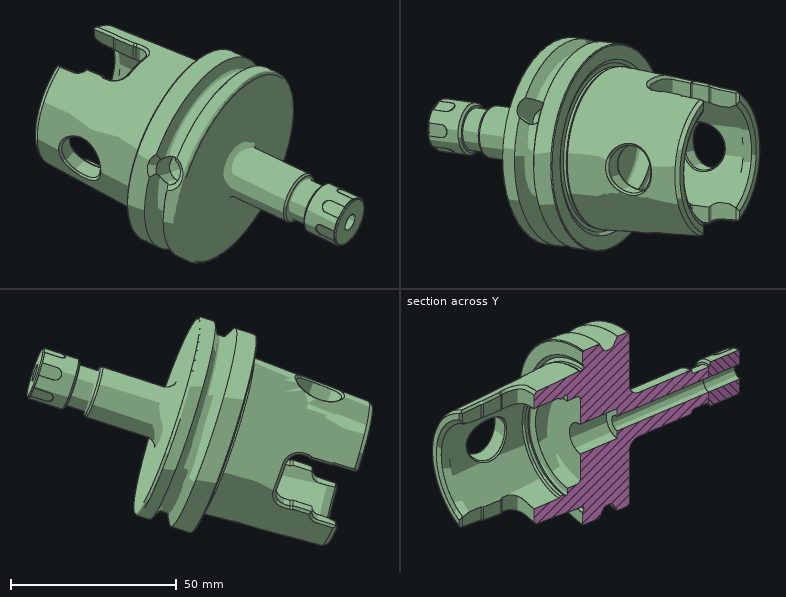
import cadquery as cq
import math


shank_length = 40.0
taper_end_x = -1.3
taper_end_radius = 24.8
taper_ratio = 1 / 20
shank_rear_radius = taper_end_radius - (shank_length + taper_end_x) * taper_ratio
shank_chamfer_length = 1.3
shank_chamfer_height = 0.7

root_land_end_x = -0.8
root_groove_depth = 0.6
root_neck_radius = 24.6
root_neck_end_x = 0.2
root_groove_bottom_radius = 25.7
root_groove_outer_radius = 26.8

flange_radius = 31.5
flange_width = 18.0
flange_rear_chamfer = 0.3
flange_front_fillet = 0.9
v_groove_x = 9.9
v_groove_bottom_radius = 28.0
v_groove_bottom_half_width = 1.4
v_groove_half_angle = math.radians(30)
v_groove_fillet = 1.0

shaft_radius = 8.0
shaft_root_fillet = 3.8
shaft_end_x = 41.8
shaft_end_chamfer_length = 0.7
shaft_end_chamfer_height = 0.4
neck_radius = 6.5
neck_fillet = 0.6

nut_rear_x = 48.1
nut_front_x = 60.0
nut_radius = 8.0
nut_chamfer_length = 0.7
nut_chamfer_height = 0.8
nut_nose_length = 0.5
nut_nose_radius = 7.5
nut_slot_count = 6
nut_slot_width = 4.0
nut_slot_floor = 7.7
nut_slot_start_x = 52.9

bore_mouth_radius = 20.2
bore_mouth_chamfer_radius = 18.8
bore_mouth_chamfer_length = 0.8
bore_radius = 18.0
bore_lead_in_length = 2.5
lip_radius = 17.4
lip_start_x = -9.0
lip_rear_chamfer = 0.6
lip_front_x = -7.3
shoulder_x = -5.7
shoulder_fillet = 0.7
recess_radius = 15.7
recess_floor_x = -0.8
recess_fillet = 1.3
coolant_bore_radius = 5.3
coolant_bore_depth = 14.0
through_hole_radius = 2.6

slot_end_x = -18.4
slot_corner_radius = 4.1
slot_half_width = 7.9
slot_relief = 0.4
slot_relief_start_x = -24.1
slot_ramp_length = 0.8
slot_mouth_half_width = 8.2
slot_mouth_flare = 0.8
slot_mouth_end_x = -32.3
slot_scoop_half_width = 10.2
slot_scoop_end_x = -31.0
slot_scoop_radius = 2.8
slot_chamfer = 0.95

cross_hole_x = -22.6
cross_hole_radius = 7.3
cross_hole_outer_chamfer = 0.7
cross_hole_inner_chamfer = 0.4

flange_hole_x = 11.1
flange_hole_tilt = 30.0
flange_hole_floor = 21.3
flange_hole_radius = 4.2
flange_hole_mouth_radius = 6.2
flange_hole_plain_radius = 3.8
drill_tip_half_angle = math.radians(59)


def revolve_about_x(profile):
    """Revolve a closed (x, radius) profile around the tool axis."""
    return profile.close().revolve(360, (0, 0, 0), (1, 0, 0))


def outer_body():
    """Solid of revolution from the shank to the front of the neck."""
    return revolve_about_x(
        cq.Workplane("XY")
        .moveTo(-shank_length, 0)
        .lineTo(-shank_length, shank_rear_radius - shank_chamfer_height)
        .lineTo(-shank_length + shank_chamfer_length, shank_rear_radius + shank_chamfer_length * taper_ratio)
        .lineTo(taper_end_x, taper_end_radius)
        .lineTo(root_land_end_x, root_neck_radius)
        .lineTo(root_neck_end_x, root_neck_radius)
        .lineTo(root_groove_depth, root_groove_bottom_radius)
        .lineTo(0, root_groove_outer_radius)
        .lineTo(0, flange_radius - flange_rear_chamfer)
        .lineTo(flange_rear_chamfer, flange_radius)
        .lineTo(flange_width - flange_front_fillet, flange_radius)
        .radiusArc((flange_width, flange_radius - flange_front_fillet), flange_front_fillet)
        .lineTo(flange_width, shaft_radius + shaft_root_fillet)
        .radiusArc((flange_width + shaft_root_fillet, shaft_radius), -shaft_root_fillet)
        .lineTo(shaft_end_x - shaft_end_chamfer_length, shaft_radius)
        .lineTo(shaft_end_x, shaft_radius - shaft_end_chamfer_height)
        .lineTo(shaft_end_x, neck_radius + neck_fillet)
        .radiusArc((shaft_end_x + neck_fillet, neck_radius), -neck_fillet)
        .lineTo(nut_rear_x, neck_radius)
        .lineTo(nut_rear_x, 0)
    )


def v_groove():
    """Ring cutter for the V groove, with rounded bottom corners."""
    depth = flange_radius - v_groove_bottom_radius
    top_half_width = v_groove_bottom_half_width + depth * math.tan(v_groove_half_angle)
    ring = revolve_about_x(
        cq.Workplane("XY")
        .moveTo(v_groove_x - top_half_width, flange_radius)
        .lineTo(v_groove_x - v_groove_bottom_half_width, v_groove_bottom_radius)
        .lineTo(v_groove_x + v_groove_bottom_half_width, v_groove_bottom_radius)
        .lineTo(v_groove_x + top_half_width, flange_radius)
    )
    bottom_edges = cq.selectors.RadiusNthSelector(0)
    return ring.edges("%CIRCLE").edges(bottom_edges).fillet(v_groove_fillet)


def rear_bore():
    """Stepped bore of the hollow shank with the coolant passage."""
    mouth_x = -shank_length
    chamfer_end_x = mouth_x + bore_mouth_chamfer_length
    coolant_end_x = recess_floor_x + coolant_bore_depth
    return revolve_about_x(
        cq.Workplane("XY")
        .moveTo(mouth_x, 0)
        .lineTo(mouth_x, bore_mouth_radius)
        .lineTo(chamfer_end_x, bore_mouth_chamfer_radius)
        .lineTo(chamfer_end_x + bore_lead_in_length, bore_radius)
        .lineTo(lip_start_x, bore_radius)
        .lineTo(lip_start_x + lip_rear_chamfer, lip_radius)
        .lineTo(lip_front_x, lip_radius)
        .lineTo(shoulder_x - shoulder_fillet, lip_radius + shoulder_fillet)
        .radiusArc((shoulder_x, lip_radius), shoulder_fillet)
        .lineTo(shoulder_x, recess_radius)
        .lineTo(recess_floor_x - recess_fillet, recess_radius)
        .radiusArc((recess_floor_x, recess_radius - recess_fillet), recess_fillet)
        .lineTo(recess_floor_x, coolant_bore_radius)
        .lineTo(coolant_end_x, coolant_bore_radius)
        .lineTo(coolant_end_x, through_hole_radius)
        .lineTo(nut_rear_x, through_hole_radius)
        .lineTo(nut_rear_x, 0)
    )


def drive_slots():
    """Prism along Z: a keyed slot, relieved near its end and scooped out at the -Y side of its mouth."""
    relief_half_width = slot_half_width + slot_relief
    ramp_start_x = slot_relief_start_x - slot_ramp_length
    corner_x = slot_end_x - slot_corner_radius
    corner_y = relief_half_width - slot_corner_radius
    scoop_height = slot_scoop_half_width - slot_half_width
    scoop_length = math.sqrt(slot_scoop_radius**2 - (slot_scoop_radius - scoop_height) ** 2)
    flare_end_x = -shank_length + slot_mouth_flare
    return (
        cq.Workplane("XY", origin=(0, 0, -flange_radius))
        .moveTo(-shank_length, slot_mouth_half_width + slot_mouth_flare)
        .lineTo(flare_end_x, slot_mouth_half_width)
        .lineTo(slot_mouth_end_x, slot_mouth_half_width)
        .lineTo(slot_mouth_end_x + slot_ramp_length, slot_half_width)
        .lineTo(ramp_start_x, slot_half_width)
        .lineTo(slot_relief_start_x, relief_half_width)
        .lineTo(corner_x, relief_half_width)
        .radiusArc((slot_end_x, corner_y), slot_corner_radius)
        .lineTo(slot_end_x, -corner_y)
        .radiusArc((corner_x, -relief_half_width), slot_corner_radius)
        .lineTo(slot_relief_start_x, -relief_half_width)
        .lineTo(ramp_start_x, -slot_half_width)
        .lineTo(slot_scoop_end_x, -slot_half_width)
        .radiusArc((slot_scoop_end_x - scoop_length, -slot_scoop_half_width), slot_scoop_radius)
        .lineTo(flare_end_x, -slot_scoop_half_width)
        .lineTo(-shank_length, -slot_scoop_half_width - slot_mouth_flare)
        .close()
        .extrude(2 * flange_radius)
    )


def on_outer_taper(edge):
    """True for an edge that runs along the outer taper surface, away from both ends of the taper."""
    for place in (0, 0.5, 1):
        point = edge.positionAt(place)
        taper_radius = taper_end_radius + (point.x - taper_end_x) * taper_ratio
        if abs(math.hypot(point.y, point.z) - taper_radius) > 0.01:
            return False
    middle_x = edge.Center().x
    return -shank_length + shank_chamfer_length + 0.1 < middle_x < taper_end_x - 0.1


def borders_slot(edge):
    """True for an outer slot edge; excludes the seam of the taper at Y = 0 and the cross holes."""
    center = edge.Center()
    is_seam = edge.geomType() == "LINE"
    return on_outer_taper(edge) and not is_seam and abs(center.y) < slot_scoop_half_width + 1


def opens_cross_hole_outside(edge):
    """True for an edge where a cross hole opens on the outer taper."""
    return on_outer_taper(edge) and abs(edge.Center().y) > slot_scoop_half_width + 1


def opens_cross_hole_inside(edge):
    """True for an edge where a cross hole opens into the bore."""
    around_hole = abs(edge.Center().x - cross_hole_x) < cross_hole_radius / 2
    points = [edge.positionAt(place) for place in (0, 0.5, 1)]
    in_bore = all(abs(math.hypot(point.y, point.z) - bore_radius) < 0.01 for point in points)
    return around_hole and in_bore and abs(edge.Center().y) > slot_scoop_half_width + 1


def chamfer_edges(body, is_wanted, size):
    edges = [edge for edge in body.edges().vals() if is_wanted(edge)]
    return body.newObject(edges).chamfer(size)


def cross_holes():
    """One straight cutter along Y through both shank walls."""
    return (
        cq.Workplane("XZ")
        .center(cross_hole_x, 0)
        .circle(cross_hole_radius)
        .extrude(flange_radius, both=True)
    )


def aim_at_flange(cutter, side):
    """Turn a cutter standing on the Z axis to the flange hole direction on the given Y side."""
    turn = -side * (90 - flange_hole_tilt)
    return cutter.rotate((0, 0, 0), (1, 0, 0), turn).translate((flange_hole_x, 0, 0))


def flange_hole(side, radius):
    """Drilled hole with a pointed floor."""
    straight = cq.Workplane("XY", origin=(0, 0, flange_hole_floor)).circle(radius).extrude(flange_radius)
    tip = cq.Solid.makeCone(
        radius,
        0,
        radius / math.tan(drill_tip_half_angle),
        pnt=cq.Vector(0, 0, flange_hole_floor),
        dir=cq.Vector(0, 0, -1),
    )
    return aim_at_flange(straight.union(tip), side)


def flange_countersink(side):
    """45 degree mouth of a flange hole, reaching its full radius at the flange rim."""
    height = flange_hole_mouth_radius - flange_hole_radius
    cone = cq.Solid.makeCone(
        flange_hole_radius,
        flange_hole_mouth_radius,
        height,
        pnt=cq.Vector(0, 0, flange_radius - height),
    )
    return aim_at_flange(cq.Workplane(cone), side)


def build_holder():
    """Shank, flange and shaft in one piece, bored from the rear."""
    body = outer_body().cut(rear_bore())
    body = chamfer_edges(body.cut(drive_slots()), borders_slot, slot_chamfer)
    body = chamfer_edges(body.cut(cross_holes()), opens_cross_hole_outside, cross_hole_outer_chamfer)
    body = chamfer_edges(body, opens_cross_hole_inside, cross_hole_inner_chamfer)
    body = body.cut(v_groove())
    body = body.cut(flange_hole(-1, flange_hole_radius)).cut(flange_countersink(-1))
    return body.cut(flange_hole(1, flange_hole_plain_radius))


def nut_slot(angle):
    """Round-ended wrench flat, open at the front of the nut, turned about the tool axis from +Z."""
    end_radius = nut_slot_width / 2
    arc_center_x = nut_slot_start_x + end_radius
    return (
        cq.Workplane("XY", origin=(0, 0, nut_slot_floor))
        .moveTo(nut_front_x, -end_radius)
        .lineTo(arc_center_x, -end_radius)
        .threePointArc((nut_slot_start_x, 0), (arc_center_x, end_radius))
        .lineTo(nut_front_x, end_radius)
        .close()
        .extrude(nut_radius)
        .rotate((0, 0, 0), (1, 0, 0), angle)
    )


def build_nut():
    """Clamping nut with its through hole and wrench slots."""
    nose_x = nut_front_x - nut_nose_length
    body = revolve_about_x(
        cq.Workplane("XY")
        .moveTo(nut_rear_x, through_hole_radius)
        .lineTo(nut_rear_x, nut_radius - nut_chamfer_height)
        .lineTo(nut_rear_x + nut_chamfer_length, nut_radius)
        .lineTo(nose_x, nut_radius)
        .lineTo(nose_x, nut_nose_radius)
        .lineTo(nut_front_x, nut_nose_radius)
        .lineTo(nut_front_x, through_hole_radius)
    )
    for index in range(nut_slot_count):
        body = body.cut(nut_slot((index + 0.5) * 360 / nut_slot_count))
    return body


holder = build_holder()
nut = build_nut()
result = cq.Compound.makeCompound([holder.val(), nut.val()])